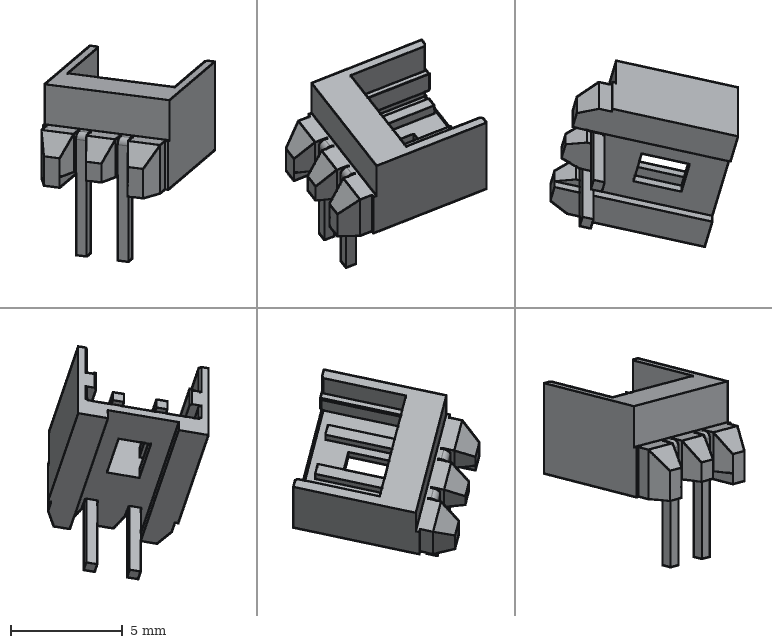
import cadquery as cq

housing_width = 6.0
housing_height = 4.2
housing_depth = 5.64
overall_depth = 7.3

wall = 0.43
floor_top = 1.02
cavity_depth = 3.88
cavity_half_width = housing_width / 2 - wall
mouth_chamfer = 0.1

rail_bottom = 1.77
rail_shelf = 2.64
shelf_width = 0.25
rail_width = 0.42
lip_top = rail_shelf + rail_width - shelf_width
rail_inner = cavity_half_width - rail_width

ledge_top = 2.3
ledge_step = 0.16
ledge_reach = housing_depth + ledge_step

pin_pitch = 2.0
pin_size = 0.51
pin_drop = 3.5
pin_tip_inset = 0.6
pin_front = 6.23
pin_bend_radius = 0.3

root_reach = 6.4
bevel = overall_depth - root_reach
pin_clearance = 0.045
slot_half_width = pin_size / 2 + pin_clearance
slot_inner = pin_pitch / 2 - slot_half_width
slot_outer = pin_pitch / 2 + slot_half_width
end_tooth_inset = 0.15
end_tooth_outer = housing_width / 2 - end_tooth_inset
tip_width = 0.75
end_tip_inner = 1.63
end_tip_outer = end_tip_inner + tip_width

channel_half_width = end_tip_inner
channel_height = 0.5
window_half_width = (pin_pitch - pin_size) / 2
window_rear = 1.66


def block(x_range, y_range, z_range):
    """Axis-aligned box spanning the given (low, high) ranges."""
    ranges = (x_range, y_range, z_range)
    sizes = [high - low for low, high in ranges]
    corner = tuple(low for low, high in ranges)
    return cq.Workplane("XY").box(*sizes, centered=False).translate(corner)


def centred_block(half_width, y_range, z_range):
    return block((-half_width, half_width), y_range, z_range)


def cavity_profile():
    """Cavity cross-section in XZ, narrowed by the two lipped rails."""
    shelf_inner = cavity_half_width - shelf_width
    right_side = [
        (cavity_half_width, floor_top),
        (cavity_half_width, rail_bottom),
        (rail_inner, rail_bottom),
        (rail_inner, lip_top),
        (shelf_inner, rail_shelf),
        (cavity_half_width, rail_shelf),
        (cavity_half_width, housing_height),
    ]
    left_side = [(-x, z) for x, z in reversed(right_side)]
    return right_side + left_side


def make_housing():
    body = centred_block(housing_width / 2, (-housing_depth, 0), (0, housing_height))
    ledge = centred_block(housing_width / 2, (-ledge_reach, -housing_depth), (0, ledge_top))
    cavity = cq.Workplane("XZ").polyline(cavity_profile()).close().extrude(cavity_depth)
    return body.union(ledge).cut(cavity)


def chamfer_mouth(housing):
    """Bevel the floor, walls and rail faces where the cavity opens to the rear."""
    floor_edge = (
        cq.Workplane("YZ")
        .polyline([(0, floor_top - mouth_chamfer), (0, floor_top), (-mouth_chamfer, floor_top)])
        .close()
        .extrude(cavity_half_width, both=True)
    )
    housing = housing.cut(floor_edge)
    side_bevels = (
        (cavity_half_width, floor_top, rail_bottom),
        (rail_inner, rail_bottom, lip_top),
        (cavity_half_width, rail_shelf, housing_height),
    )
    for face_x, bottom, top in side_bevels:
        for side in (-1, 1):
            wedge = (
                cq.Workplane("XY", origin=(0, 0, bottom))
                .polyline([
                    (side * face_x, 0),
                    (side * (face_x + mouth_chamfer), 0),
                    (side * face_x, -mouth_chamfer),
                ])
                .close()
                .extrude(top - bottom)
            )
            housing = housing.cut(wedge)
    return housing


def make_tooth(root_left, root_right, tip_left, tip_right):
    plan = [
        (root_left, -ledge_reach),
        (root_left, -root_reach),
        (tip_left, -overall_depth),
        (tip_right, -overall_depth),
        (root_right, -root_reach),
        (root_right, -ledge_reach),
    ]
    tooth = cq.Workplane("XY").polyline(plan).close().extrude(ledge_top)
    bevel_cut = (
        cq.Workplane("YZ")
        .polyline([
            (-root_reach, ledge_top),
            (-overall_depth, ledge_top),
            (-overall_depth, ledge_top - bevel),
        ])
        .close()
        .extrude(housing_width / 2, both=True)
    )
    return tooth.cut(bevel_cut)


def make_teeth():
    middle = make_tooth(-slot_inner, slot_inner, -tip_width / 2, tip_width / 2)
    right = make_tooth(slot_outer, end_tooth_outer, end_tip_inner, end_tip_outer)
    return middle.union(right).union(right.mirror("YZ"))


def make_pin(centre_x):
    """Pin lying along Y at ledge height, bent down at the front."""
    x_range = (centre_x - pin_size / 2, centre_x + pin_size / 2)
    pin_rear = pin_front - pin_size
    lying = block(x_range, (-pin_front, -pin_tip_inset), (ledge_top - pin_size, ledge_top))
    standing = block(x_range, (-pin_front, -pin_rear), (-pin_drop, ledge_top))
    bent = lying.union(standing)
    bend_edge = cq.selectors.NearestToPointSelector((centre_x, -pin_front, ledge_top))
    return bent.edges(bend_edge).fillet(pin_bend_radius)


housing = chamfer_mouth(make_housing()).union(make_teeth())
channel = centred_block(channel_half_width, (-overall_depth, 0), (0, channel_height))
window = centred_block(window_half_width, (-cavity_depth, -window_rear), (0, floor_top))
result = housing.cut(channel).cut(window)
for pin_x in (-pin_pitch / 2, pin_pitch / 2):
    result = result.union(make_pin(pin_x))